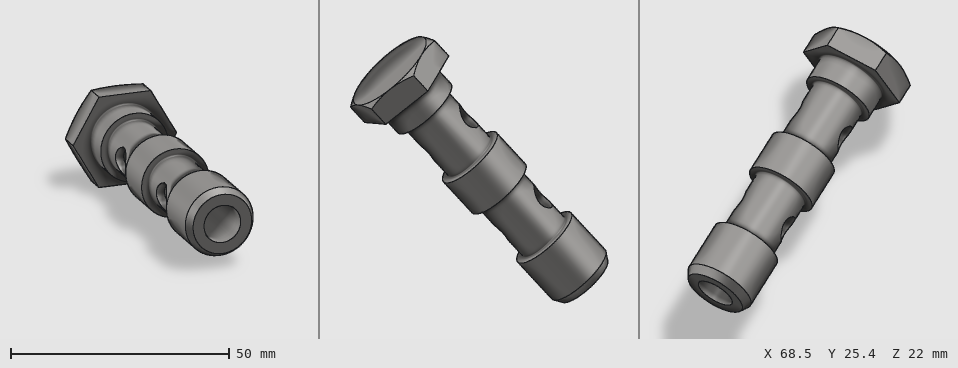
import cadquery as cq
import math

HEAD_SIDES = 6
ACROSS_FLATS = 22.0
HEAD_LENGTH = 6.0
HEAD_CHAMFER_ANGLE = 30.0

TOTAL_LENGTH = 68.5
COLLAR_DIAMETER = 16.6
THREAD_DIAMETER = 16.66
GROOVE_DIAMETER = 13.0
COLLAR_LENGTH = 6.2
GROOVE_COUNT = 2
GROOVE_LENGTH = 16.0
LAND_LENGTH = 10.2
FILLET_RADIUS = 0.4
FILLET_MID_OFFSET = FILLET_RADIUS * (1 - math.sqrt(0.5))
TIP_CHAMFER_LENGTH = 2.0
TIP_CHAMFER_ANGLE = 30.0

BORE_DIAMETER = 9.0
CROSS_HOLE_DIAMETER = 6.5

GROOVE_PITCH = GROOVE_LENGTH + LAND_LENGTH
GROOVE_STARTS = [HEAD_LENGTH + COLLAR_LENGTH + i * GROOVE_PITCH for i in range(GROOVE_COUNT)]
THREAD_START = GROOVE_STARTS[-1] + GROOVE_LENGTH
CROSS_HOLE_POSITIONS = [start + GROOVE_LENGTH / 2 for start in GROOVE_STARTS]
BORE_END = GROOVE_STARTS[0]


def revolve_about_x(profile):
    """Close a half profile drawn in XY and turn it about the X axis."""
    return profile.close().revolve(360, (0, 0, 0), (1, 0, 0))


def head():
    """Hexagon with flats on top and bottom and conically cut corners on its outer face."""
    across_corners = ACROSS_FLATS / math.cos(math.pi / HEAD_SIDES)
    hexagon = cq.Workplane("YZ").polygon(HEAD_SIDES, across_corners).extrude(HEAD_LENGTH)
    face_radius = ACROSS_FLATS / 2
    cone_radius = face_radius + HEAD_LENGTH / math.tan(math.radians(HEAD_CHAMFER_ANGLE))
    cone_profile = cq.Workplane("XY").polyline(
        [(0, 0), (0, face_radius), (HEAD_LENGTH, cone_radius), (HEAD_LENGTH, 0)]
    )
    return hexagon.intersect(revolve_about_x(cone_profile))


def fillet_leaving_wall(profile, wall, radius):
    """Arc from the wall at X = wall down onto a cylinder running towards +X."""
    return profile.threePointArc(
        (wall + FILLET_MID_OFFSET, radius + FILLET_MID_OFFSET),
        (wall + FILLET_RADIUS, radius),
    )


def fillet_reaching_wall(profile, wall, radius):
    """Line along a cylinder towards +X, then an arc up onto the wall at X = wall."""
    return profile.lineTo(wall - FILLET_RADIUS, radius).threePointArc(
        (wall - FILLET_MID_OFFSET, radius + FILLET_MID_OFFSET),
        (wall, radius + FILLET_RADIUS),
    )


def groove(profile, start, outer_radius):
    """Continue the profile along the outer radius and through one groove with rounded roots."""
    end = start + GROOVE_LENGTH
    root_radius = GROOVE_DIAMETER / 2
    profile = profile.lineTo(start, outer_radius).lineTo(start, root_radius + FILLET_RADIUS)
    profile = fillet_leaving_wall(profile, start, root_radius)
    profile = fillet_reaching_wall(profile, end, root_radius)
    return profile.lineTo(end, outer_radius)


def shank():
    """Collar, two grooves with a land between them, and the threaded end, turned in one piece."""
    collar_radius = COLLAR_DIAMETER / 2
    thread_radius = THREAD_DIAMETER / 2
    tip_radius = thread_radius - TIP_CHAMFER_LENGTH * math.tan(math.radians(TIP_CHAMFER_ANGLE))

    profile = cq.Workplane("XY").moveTo(HEAD_LENGTH, 0)
    profile = profile.lineTo(HEAD_LENGTH, collar_radius + FILLET_RADIUS)
    profile = fillet_leaving_wall(profile, HEAD_LENGTH, collar_radius)
    for start in GROOVE_STARTS:
        profile = groove(profile, start, collar_radius)
    profile = (
        profile.lineTo(THREAD_START, thread_radius)
        .lineTo(TOTAL_LENGTH - TIP_CHAMFER_LENGTH, thread_radius)
        .lineTo(TOTAL_LENGTH, tip_radius)
        .lineTo(TOTAL_LENGTH, 0)
    )
    return revolve_about_x(profile)


def drill_passages(body):
    """Cut the blind axial bore and the holes along Y that cross it."""
    bore = (
        cq.Workplane("YZ", origin=(BORE_END, 0, 0))
        .circle(BORE_DIAMETER / 2)
        .extrude(TOTAL_LENGTH - BORE_END)
    )
    body = body.cut(bore)
    for position in CROSS_HOLE_POSITIONS:
        cross_hole = (
            cq.Workplane("XZ", origin=(position, 0, 0))
            .circle(CROSS_HOLE_DIAMETER / 2)
            .extrude(GROOVE_DIAMETER, both=True)
        )
        body = body.cut(cross_hole)
    return body


result = drill_passages(head().union(shank()))